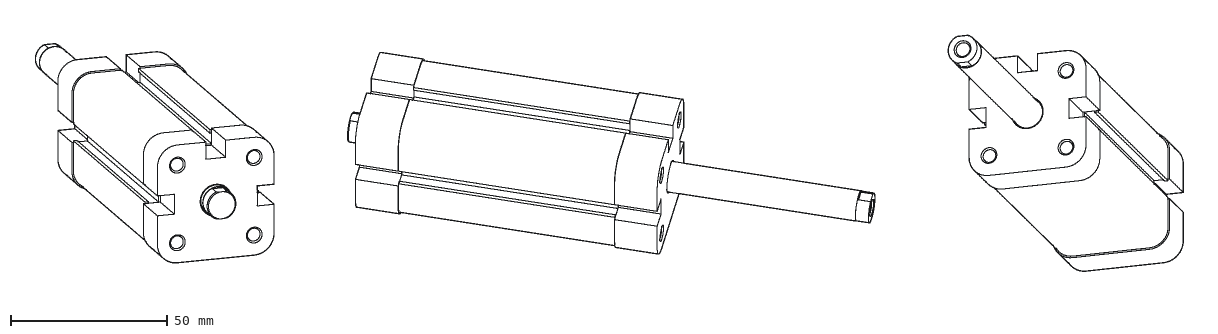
import cadquery as cq
import math

total_length = 171.0
cap_start = 66.0
rear_rod_reach = 6.0
cap_length = 14.0
cap_end = total_length - rear_rod_reach
tube_start = cap_start + cap_length
tube_end = cap_end - cap_length
tube_length = tube_end - tube_start

cap_width = 39.5
tube_width = 38.5
screw_offset = 13.0
cap_corner_radius = cap_width / 2 - screw_offset
tube_corner_radius = tube_width / 2 - screw_offset

slot_width = 6.7
slot_mouth_width = 5.6
lip_thickness = 1.2
cap_slot_floor = 14.0
tube_slot_floor = 14.5
slot_angles = (-90, 0, 90)

screw_hole_diameter = 4.3
screw_hole_chamfer = 0.5

rod_diameter = 10.0
rod_end_diameter = 9.7
rod_end_length = 4.3
rear_end_length = 4.5
flat_runout = 0.3
rod_flat_width = 9.0
rear_chamfer = 0.3
bore_chamfer = 0.3
thread_hole_diameter = 4.6
thread_hole_chamfer = 0.5
thread_hole_depth = 12.0
drill_tip_length = 1.4


def square_bar(x_start, length, width, corner_radius):
    """Square bar along X with rounded long edges."""
    bar = cq.Workplane("YZ", origin=(x_start, 0, 0)).rect(width, width).extrude(length)
    return bar.edges("|X").fillet(corner_radius)


def slot_cutter(x_start, length, width, z_floor, z_top):
    """Boxes along X, one for each slot, reaching from z_floor to z_top off the axis."""
    height = z_top - z_floor
    box = cq.Workplane("YZ", origin=(x_start, 0, z_floor)).rect(width, height).extrude(length)
    box = box.translate((0, 0, height / 2))
    cutter = cq.Workplane("YZ")
    for angle in slot_angles:
        cutter = cutter.add(box.rotate((0, 0, 0), (1, 0, 0), angle))
    return cutter.combine()


def axial_holes(x_start, length, diameter):
    """Four round cutters along X at the screw positions."""
    spacing = 2 * screw_offset
    return (
        cq.Workplane("YZ", origin=(x_start, 0, 0))
        .rect(spacing, spacing, forConstruction=True)
        .vertices()
        .circle(diameter / 2)
        .extrude(length)
    )


def make_cap(x_start, outer_face):
    """End cap with slots; the rod bore and screw holes are chamfered on the outer face."""
    cap = square_bar(x_start, cap_length, cap_width, cap_corner_radius)
    cap = cap.cut(axial_holes(x_start, cap_length, screw_hole_diameter))
    cap = cap.faces(outer_face).edges(cq.selectors.RadiusNthSelector(0)).chamfer(screw_hole_chamfer)
    bore = cq.Workplane("YZ", origin=(x_start, 0, 0)).circle(rod_diameter / 2).extrude(cap_length)
    cap = cap.cut(bore)
    cap = cap.faces(outer_face).edges(cq.selectors.RadiusNthSelector(1)).chamfer(bore_chamfer)
    return cap.cut(slot_cutter(x_start, cap_length, slot_width, cap_slot_floor, cap_width / 2))


def make_tube():
    """Profile tube with lipped slots, rod bore and screw holes."""
    tube = square_bar(tube_start, tube_length, tube_width, tube_corner_radius)
    lip_bottom = tube_width / 2 - lip_thickness
    tube = tube.cut(slot_cutter(tube_start, tube_length, slot_width, tube_slot_floor, lip_bottom))
    tube = tube.cut(slot_cutter(tube_start, tube_length, slot_mouth_width, tube_slot_floor, tube_width / 2))
    tube = tube.cut(axial_holes(tube_start, tube_length, screw_hole_diameter))
    bore = cq.Workplane("YZ", origin=(tube_start, 0, 0)).circle(rod_diameter / 2).extrude(tube_length)
    return tube.cut(bore)


def flat_cutter(x_end, x_inner):
    """Pair of cutters for wrench flats from the rod tip x_end, sloping out to the surface at x_inner."""
    flat_height = rod_flat_width / 2
    surface = rod_end_diameter / 2
    clear_height = rod_diameter
    slope_start = x_inner + math.copysign(flat_runout, x_end - x_inner)
    upper = (
        cq.Workplane("XZ")
        .moveTo(x_end, flat_height)
        .lineTo(slope_start, flat_height)
        .lineTo(x_inner, surface)
        .lineTo(x_inner, clear_height)
        .lineTo(x_end, clear_height)
        .close()
        .extrude(rod_diameter / 2, both=True)
    )
    return upper.add(upper.mirror("XY")).combine()


def make_rod():
    """Piston rod with flatted ends and a blind threaded hole in its long end."""
    rod_radius = rod_diameter / 2
    end_radius = rod_end_diameter / 2
    hole_radius = thread_hole_diameter / 2
    rear_end_start = total_length - rear_end_length
    rod = (
        cq.Workplane("XZ")
        .moveTo(0, hole_radius + thread_hole_chamfer)
        .lineTo(0, end_radius)
        .lineTo(rod_end_length, end_radius)
        .lineTo(rod_end_length, rod_radius)
        .lineTo(rear_end_start, rod_radius)
        .lineTo(rear_end_start, end_radius)
        .lineTo(total_length - rear_chamfer, end_radius)
        .lineTo(total_length, end_radius - rear_chamfer)
        .lineTo(total_length, 0)
        .lineTo(thread_hole_depth + drill_tip_length, 0)
        .lineTo(thread_hole_depth, hole_radius)
        .lineTo(thread_hole_chamfer, hole_radius)
        .close()
        .revolve(360, (0, 0, 0), (1, 0, 0))
    )
    rod = rod.cut(flat_cutter(0, rod_end_length))
    return rod.cut(flat_cutter(total_length, rear_end_start))


caps = [make_cap(x_start, outer_face) for x_start, outer_face in ((cap_start, "<X"), (tube_end, ">X"))]
tube = make_tube()
rod = make_rod()

result = cq.Compound.makeCompound([*(cap.val() for cap in caps), tube.val(), rod.val()])